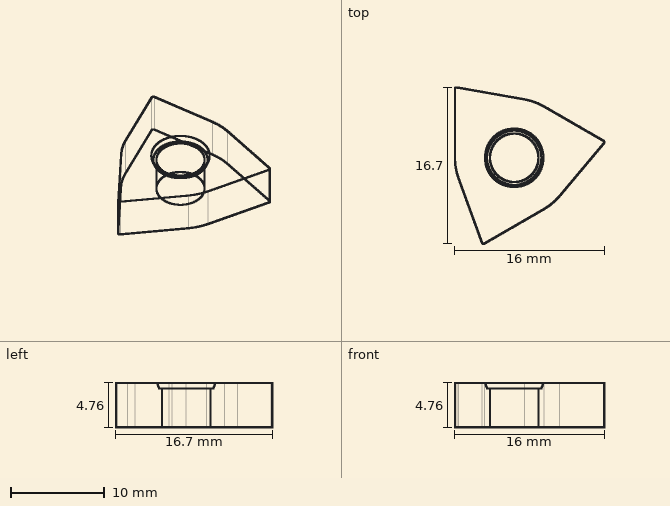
import cadquery as cq
import math

INSCRIBED_RADIUS = 12.7 / 2
THICKNESS = 4.76
CORNER_COUNT = 3
CORNER_ANGLE = 80.0
NOSE_RADIUS = 0.2
FIRST_CORNER_DIRECTION = 10.0

HOLE_DIAMETER = 5.16
RECESS_TOP_DIAMETER = 6.25
RECESS_LEDGE_DIAMETER = 5.8
RECESS_DEPTH = 0.6

CORNER_PITCH = 360.0 / CORNER_COUNT
FLANK_NORMAL_OFFSET = 90.0 - CORNER_ANGLE / 2
NOSE_CENTRE_DISTANCE = (INSCRIBED_RADIUS - NOSE_RADIUS) / math.sin(math.radians(CORNER_ANGLE / 2))


def polar(radius, angle, centre=(0.0, 0.0)):
    """Point at a radius and an angle in degrees around a centre."""
    a = math.radians(angle)
    return (centre[0] + radius * math.cos(a), centre[1] + radius * math.sin(a))


def insert_body():
    """Plate bounded by the flanks, the rounded noses and arcs of the inscribed circle."""
    start = polar(INSCRIBED_RADIUS, FIRST_CORNER_DIRECTION - FLANK_NORMAL_OFFSET)
    outline = cq.Workplane("XY").moveTo(*start)
    for i in range(CORNER_COUNT):
        corner = FIRST_CORNER_DIRECTION + i * CORNER_PITCH
        entry_normal = corner - FLANK_NORMAL_OFFSET
        exit_normal = corner + FLANK_NORMAL_OFFSET
        next_entry_normal = entry_normal + CORNER_PITCH
        nose_centre = polar(NOSE_CENTRE_DISTANCE, corner)

        outline = outline.lineTo(*polar(NOSE_RADIUS, entry_normal, nose_centre))
        outline = outline.threePointArc(
            polar(NOSE_RADIUS, corner, nose_centre),
            polar(NOSE_RADIUS, exit_normal, nose_centre),
        )
        outline = outline.lineTo(*polar(INSCRIBED_RADIUS, exit_normal))

        outline = outline.threePointArc(
            polar(INSCRIBED_RADIUS, (exit_normal + next_entry_normal) / 2),
            polar(INSCRIBED_RADIUS, next_entry_normal),
        )
    return outline.close().extrude(THICKNESS)


def clamping_hole():
    """Through hole and its tapered recess, as one solid of revolution to cut away."""
    ledge_height = THICKNESS - RECESS_DEPTH
    half_profile = (
        cq.Workplane("XZ")
        .moveTo(0, 0)
        .lineTo(HOLE_DIAMETER / 2, 0)
        .lineTo(HOLE_DIAMETER / 2, ledge_height)
        .lineTo(RECESS_LEDGE_DIAMETER / 2, ledge_height)
        .lineTo(RECESS_TOP_DIAMETER / 2, THICKNESS)
        .lineTo(0, THICKNESS)
        .close()
    )
    return half_profile.revolve(360, (0, 0, 0), (0, 1, 0))


result = insert_body().cut(clamping_hole())